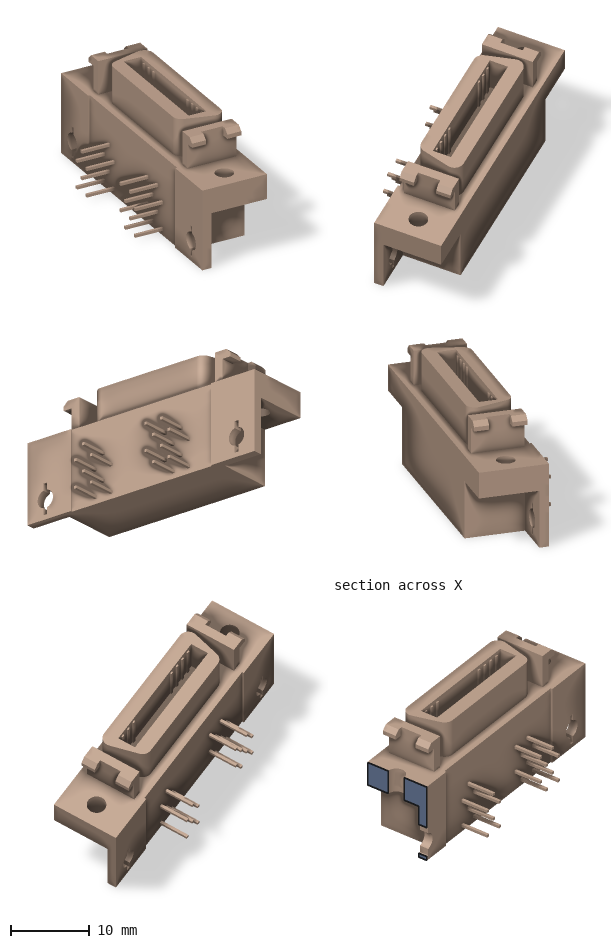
import cadquery as cq
import math

flange_length = 37.08
body_depth = 9.14
body_height = 11.43
core_length = 25.4
flange_thickness = 3.56

foot_inner_x = 11.43
foot_proud = 0.26
foot_thickness = 1.3
foot_hole_z = 2.86
foot_slot_width = 0.58
foot_slot_height = 4.4

hole_spacing = 31.2
hole_diameter = 2.5

shell_height = 5.33
shell_depth = 6.4
shell_back_length = 21.06
shell_side_angle = 15.0
shell_corner_radius = 1.27
slot_length = 17.1
slot_width = 2.54
slot_depth = 5.08

latch_inner_x = 11.05
latch_post_thickness = 1.27
latch_reach = 2.54
latch_height = 4.8
latch_width = 7.16
latch_hook_height = 1.23
latch_hook_chamfer = 0.64
latch_gap_width = 3.12

contact_pitch = 1.27
contact_steps = (-6, -5, -4, 3, 4, 5, 6)
contact_width = 0.4
contact_proud = 0.2
contact_top_drop = 0.5
pin_width = 0.4
pin_length = 4.07
pin_row_pitch = 1.905
pin_bottom_z = 0.95
pin_rows = 4

front_y = -body_depth / 2
back_y = body_depth / 2
foot_front_y = front_y - foot_proud
shell_top_z = body_height + shell_height
sides = (-1, 1)


def box(x_range, y_range, z_range):
    """Box between pairs of coordinates; each pair may be in either order."""
    spans = [abs(end - start) for start, end in (x_range, y_range, z_range)]
    corner = (min(x_range), min(y_range), min(z_range))
    return cq.Workplane("XY").box(*spans, centered=False).translate(corner)


def make_body():
    """Core block with a full-length flange along its top."""
    core = box((-core_length / 2, core_length / 2), (front_y, back_y), (0, body_height))
    flange = box(
        (-flange_length / 2, flange_length / 2),
        (front_y, back_y),
        (body_height - flange_thickness, body_height),
    )
    return core.union(flange)


def make_foot(side):
    """Full-height end plate on one side."""
    return box(
        (side * foot_inner_x, side * flange_length / 2),
        (foot_front_y, foot_front_y + foot_thickness),
        (0, body_height),
    )


def make_mounting_cuts(side):
    """Vertical flange hole and keyhole-slotted foot hole on one side."""
    hole_x = side * hole_spacing / 2
    flange_hole = (
        cq.Workplane("XY")
        .workplane(offset=body_height - flange_thickness)
        .center(hole_x, 0)
        .circle(hole_diameter / 2)
        .extrude(flange_thickness)
    )
    foot_profile = cq.Workplane("XZ", origin=(hole_x, foot_front_y, foot_hole_z))
    foot_hole = foot_profile.circle(hole_diameter / 2).extrude(-foot_thickness)
    foot_slot = foot_profile.rect(foot_slot_width, foot_slot_height).extrude(-foot_thickness)
    return flange_hole.union(foot_hole).union(foot_slot)


def make_shell():
    """D-shaped shell, narrower toward the front, with rounded corners."""
    back_x = shell_back_length / 2
    front_x = back_x - shell_depth * math.tan(math.radians(shell_side_angle))
    half_depth = shell_depth / 2
    outline = [
        (-front_x, -half_depth),
        (front_x, -half_depth),
        (back_x, half_depth),
        (-back_x, half_depth),
    ]
    base = cq.Workplane("XY").workplane(offset=body_height)
    shell = base.polyline(outline).close().extrude(shell_height)
    return shell.edges("|Z").fillet(shell_corner_radius)


def make_slot():
    """Mating slot cavity."""
    return box(
        (-slot_length / 2, slot_length / 2),
        (-slot_width / 2, slot_width / 2),
        (shell_top_z - slot_depth, shell_top_z),
    )


def make_latch(side):
    """Post with an outward hook split into two teeth by a central gap."""
    inner_x = side * latch_inner_x
    post_x = side * (latch_inner_x + latch_post_thickness)
    tip_x = side * (latch_inner_x + latch_reach)
    chamfer_x = tip_x - side * latch_hook_chamfer
    top_z = body_height + latch_height
    hook_z = top_z - latch_hook_height
    profile = [
        (inner_x, body_height),
        (inner_x, top_z),
        (chamfer_x, top_z),
        (tip_x, top_z - latch_hook_chamfer),
        (tip_x, hook_z),
        (post_x, hook_z),
        (post_x, body_height),
    ]
    latch = cq.Workplane("XZ").polyline(profile).close().extrude(latch_width / 2, both=True)
    gap = box((post_x, tip_x), (-latch_gap_width / 2, latch_gap_width / 2), (hook_z, top_z))
    return latch.cut(gap)


def make_contacts(step):
    """Pair of contact strips on the two long walls of the slot."""
    centre_x = step * contact_pitch
    x_range = (centre_x - contact_width / 2, centre_x + contact_width / 2)
    z_range = (shell_top_z - slot_depth, shell_top_z - contact_top_drop)
    wall_y = slot_width / 2
    back_strip = box(x_range, (wall_y - contact_proud, wall_y), z_range)
    front_strip = box(x_range, (-wall_y, contact_proud - wall_y), z_range)
    return back_strip.union(front_strip)


def make_pins():
    """Staggered solder pins: even steps on even rows, odd steps on odd rows."""
    centres = [
        (step * contact_pitch, pin_bottom_z + row * pin_row_pitch)
        for row in range(pin_rows)
        for step in contact_steps
        if (step - row) % 2 == 0
    ]
    face = cq.Workplane("XZ", origin=(0, front_y, 0))
    return face.pushPoints(centres).rect(pin_width, pin_width).extrude(pin_length)


result = make_body().union(make_shell())
for side in sides:
    result = result.union(make_foot(side)).union(make_latch(side))
for side in sides:
    result = result.cut(make_mounting_cuts(side))
result = result.cut(make_slot())
for step in contact_steps:
    result = result.union(make_contacts(step))
result = result.union(make_pins())